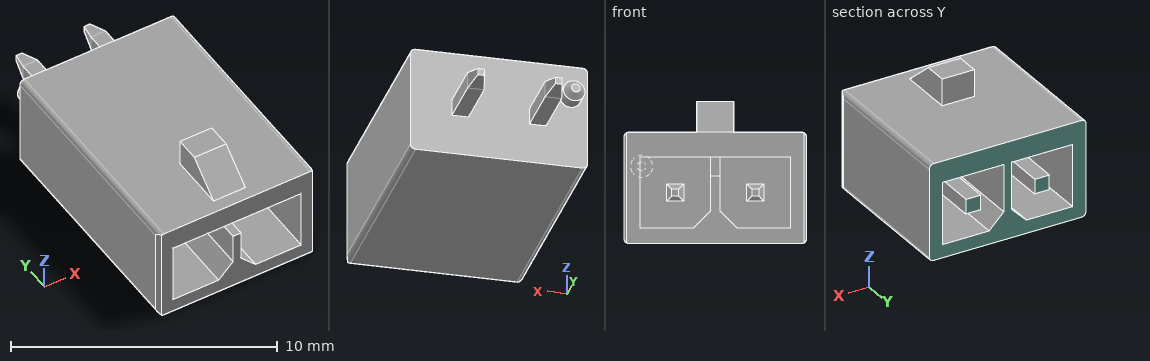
import cadquery as cq


HOUSING_WIDTH = 6.85
HOUSING_LENGTH = 9.92
HOUSING_HEIGHT = 4.18
EDGE_RADIUS = 0.2
LEAD_IN_WIDTH = 0.1
LEAD_IN_LENGTH = 0.28

PITCH = 3.0
CELL_SIZE = 2.65
CELL_DEPTH = 8.0
CELL_FLOOR_Z = 0.59
CELL_CHAMFER = 0.64
DIVIDER_THICKNESS = PITCH - CELL_SIZE
NOTCH_HEIGHT = 0.71
NOTCH_DEPTH = CELL_DEPTH / 2

PIN_SIZE = 0.64
PIN_TIP_SIZE = 0.26
PIN_TIP_LENGTH = 0.8
PIN_TAIL_LENGTH = 3.17
PIN_SETBACK = 3.0
PIN_Z = CELL_FLOOR_Z + CELL_SIZE / 2

LATCH_WIDTH = 1.4
LATCH_HEIGHT = 1.15
LATCH_FRONT_Y = 0.54
LATCH_CREST_Y = 1.91
LATCH_BACK_Y = 2.93

PEG_DIAMETER = 0.83
PEG_LENGTH = 0.83
PEG_CHAMFER = 0.25
PEG_X = -2.76
PEG_Z = 2.9


def box(width, length, height, x, y, z):
    """Box centred on x, running in +Y from y and in +Z from z."""
    return cq.Workplane("XY").box(width, length, height, centered=(True, False, False)).translate((x, y, z))


def plane_facing_back(x, y, z):
    """Workplane with +X to the left, +Z up and its normal along +Y."""
    return cq.Workplane(cq.Plane(origin=(x, y, z), xDir=(-1, 0, 0), normal=(0, 1, 0)))


def make_housing():
    """Block with rounded long edges and slim lead-in bevels beside the mating face."""
    block = box(HOUSING_WIDTH, HOUSING_LENGTH, HOUSING_HEIGHT, 0, 0, 0).edges("|Y").fillet(EDGE_RADIUS)
    half_width = HOUSING_WIDTH / 2
    outline = [
        (-half_width + LEAD_IN_WIDTH, 0),
        (half_width - LEAD_IN_WIDTH, 0),
        (half_width, LEAD_IN_LENGTH),
        (half_width, HOUSING_LENGTH),
        (-half_width, HOUSING_LENGTH),
        (-half_width, LEAD_IN_LENGTH),
    ]
    envelope = cq.Workplane("XY").polyline(outline).close().extrude(HOUSING_HEIGHT)
    return block.intersect(envelope)


def make_cell(side):
    """Square pocket whose lower corner next to the divider is cut off; side is -1 or 1."""
    inner_x = side * DIVIDER_THICKNESS / 2
    outer_x = inner_x + side * CELL_SIZE
    top_z = CELL_FLOOR_Z + CELL_SIZE
    outline = [
        (inner_x, top_z),
        (outer_x, top_z),
        (outer_x, CELL_FLOOR_Z),
        (inner_x + side * CELL_CHAMFER, CELL_FLOOR_Z),
        (inner_x, CELL_FLOOR_Z + CELL_CHAMFER),
    ]
    return cq.Workplane("XZ").polyline(outline).close().extrude(-CELL_DEPTH)


def make_divider_notch():
    """Opening above the front part of the divider that joins the two cells."""
    notch_z = CELL_FLOOR_Z + CELL_SIZE - NOTCH_HEIGHT
    return box(DIVIDER_THICKNESS, NOTCH_DEPTH, NOTCH_HEIGHT, 0, 0, notch_z)


def make_pin(x):
    """Straight square pin with a tapered tip at both ends."""
    shank_start = PIN_SETBACK + PIN_TIP_LENGTH
    shank_end = HOUSING_LENGTH + PIN_TAIL_LENGTH - PIN_TIP_LENGTH
    shank_length = shank_end - shank_start
    shank = plane_facing_back(x, shank_start, PIN_Z).rect(PIN_SIZE, PIN_SIZE).extrude(shank_length)
    front_tip = (
        plane_facing_back(x, PIN_SETBACK, PIN_Z)
        .rect(PIN_TIP_SIZE, PIN_TIP_SIZE)
        .workplane(offset=PIN_TIP_LENGTH)
        .rect(PIN_SIZE, PIN_SIZE)
        .loft(ruled=True)
    )
    back_tip = (
        plane_facing_back(x, shank_end, PIN_Z)
        .rect(PIN_SIZE, PIN_SIZE)
        .workplane(offset=PIN_TIP_LENGTH)
        .rect(PIN_TIP_SIZE, PIN_TIP_SIZE)
        .loft(ruled=True)
    )
    return shank.union(front_tip).union(back_tip)


def make_latch():
    """Locking ramp on top: slopes up from the mating side and drops off square."""
    top_z = HOUSING_HEIGHT + LATCH_HEIGHT
    profile = [
        (LATCH_FRONT_Y, HOUSING_HEIGHT),
        (LATCH_CREST_Y, top_z),
        (LATCH_BACK_Y, top_z),
        (LATCH_BACK_Y, HOUSING_HEIGHT),
    ]
    return cq.Workplane("YZ").polyline(profile).close().extrude(LATCH_WIDTH / 2, both=True)


def make_peg():
    """Round locating peg with a chamfered end on the back of the housing."""
    peg = plane_facing_back(PEG_X, HOUSING_LENGTH, PEG_Z).circle(PEG_DIAMETER / 2).extrude(PEG_LENGTH)
    return peg.faces(">Y").chamfer(PEG_CHAMFER)


result = make_housing().cut(make_divider_notch())
for cell_side in (-1, 1):
    result = result.cut(make_cell(cell_side))
for pin_side in (-1, 1):
    result = result.union(make_pin(pin_side * PITCH / 2))
result = result.union(make_latch()).union(make_peg())